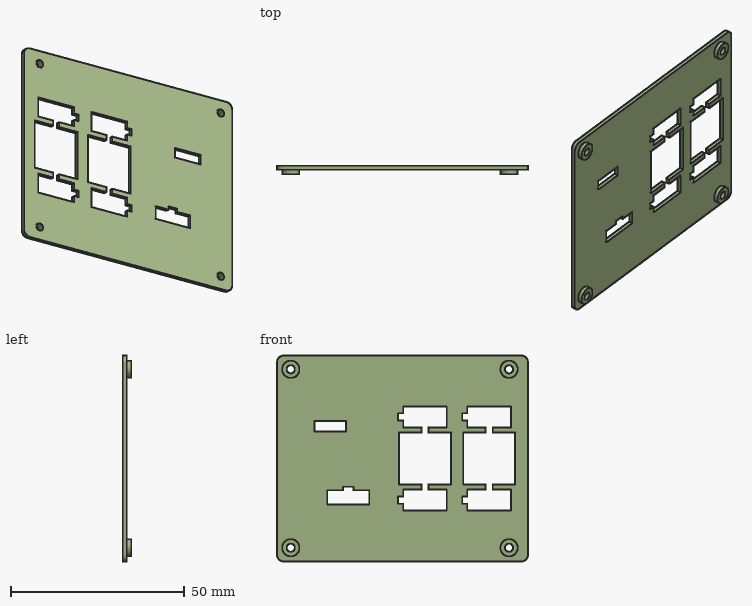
import cadquery as cq

plate_width = 72.5
plate_height = 59.5
plate_thickness = 1.2
corner_radius = 2.0

total_depth = 2.5
boss_height = total_depth - plate_thickness
boss_diameter = 5.0
screw_diameter = 2.3
boss_edge_margin = 4.0
boss_right_margin = 5.5
boss_left_x = -plate_width / 2 + boss_edge_margin
boss_right_x = plate_width / 2 - boss_right_margin
boss_z = plate_height / 2 - boss_edge_margin

switch_first_x = 6.5
switch_pitch = 18.5
switch_count = 2
main_window_width = 14.9
main_window_height = 14.9
side_window_width = 12.5
side_window_height = 6.0
side_window_z = 12.0
side_notch_depth = 1.5
side_notch_height = 2.0
link_slot_width = 2.0

port_x = -20.85
port_z = 9.3
port_width = 9.0
port_height = 3.0

keyed_port_x = -15.65
keyed_port_z = -11.2
keyed_port_width = 12.0
keyed_port_height = 4.0
key_width = 3.0
key_height = 1.0


def through_box(x, z, width, height):
    """Rectangular cutter through the plate, centred at (x, z)."""
    box = cq.Workplane("XY").box(width, plate_thickness, height)
    return box.translate((x, plate_thickness / 2, z))


def front_cylinder(x, z, diameter, length):
    """Cylinder along +Y starting at the front of the bosses."""
    plane = cq.Workplane("XZ", origin=(x, -boss_height, z))
    return plane.circle(diameter / 2).extrude(-length)


def make_plate():
    plate = through_box(0, 0, plate_width, plate_height)
    return plate.edges("|Y").fillet(corner_radius)


def add_bosses(body):
    for x in (boss_left_x, boss_right_x):
        for z in (-boss_z, boss_z):
            body = body.union(front_cylinder(x, z, boss_diameter, boss_height))
            body = body.cut(front_cylinder(x, z, screw_diameter, total_depth))
    return body


def cut_switch_opening(body, x):
    body = body.cut(through_box(x, 0, main_window_width, main_window_height))
    body = body.cut(through_box(x, 0, link_slot_width, 2 * side_window_z))
    notch_x = x - (side_window_width + side_notch_depth) / 2
    for z in (-side_window_z, side_window_z):
        body = body.cut(through_box(x, z, side_window_width, side_window_height))
        body = body.cut(through_box(notch_x, z, side_notch_depth, side_notch_height))
    return body


def cut_ports(body):
    body = body.cut(through_box(port_x, port_z, port_width, port_height))
    body = body.cut(through_box(keyed_port_x, keyed_port_z, keyed_port_width, keyed_port_height))
    key_z = keyed_port_z + (keyed_port_height + key_height) / 2
    return body.cut(through_box(keyed_port_x, key_z, key_width, key_height))


result = add_bosses(make_plate())
for index in range(switch_count):
    result = cut_switch_opening(result, switch_first_x + index * switch_pitch)
result = cut_ports(result)